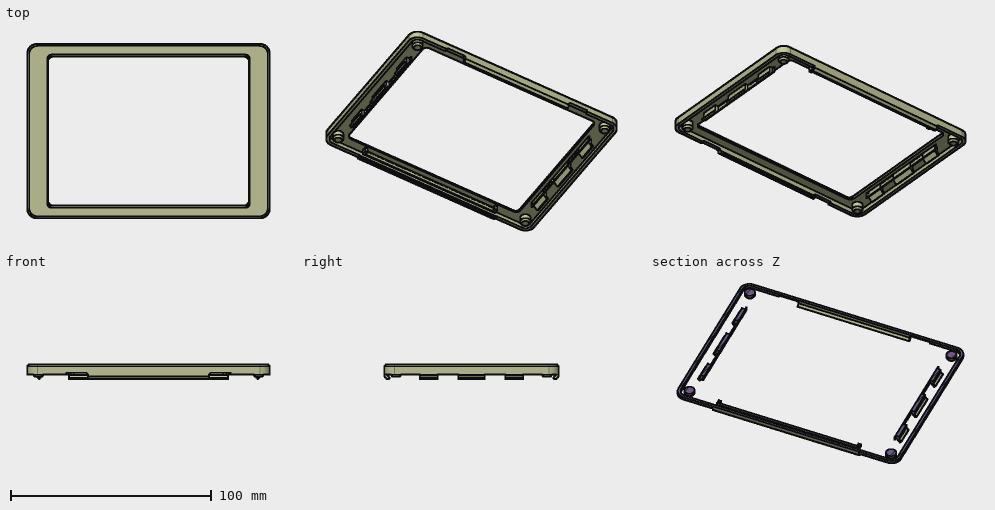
import cadquery as cq

LENGTH = 121.0
WIDTH = 87.0
TOTAL_DEPTH = 7.5
BODY_DEPTH = 5.2
CORNER_RADIUS = 5.1
EDGE_CHAMFER = 1.1
WALL = 1.7
PLATE = 2.4

WINDOW_LENGTH = 101.0
WINDOW_WIDTH = 76.4
WINDOW_RADIUS = 2.4
RIM_BEVEL = 0.2
SLOPE_BOTTOM = 1.7
SLOPE_RUN_X = 0.2
SLOPE_RUN_Y = 1.0

HOOK_REACH = 2.9
HOOK_BEVEL = 1.3
HOOK_TIP_BEVEL = 0.6
HOOK_THROAT = 0.4
FRONT_HOOK_HALF = 30.2
REAR_HOOK_HALF = 39.7
NOTCH_END = 41.0
NOTCH_RISE = 0.8
NOTCH_SLOPE = 0.7

CLIP_FACE_INSET = 8.1
CLIP_WALL = 1.7
CLIP_REACH = 2.9
CLIP_TIP_RISE = 0.8
RIB_THICKNESS = 0.5
RIB_HALF_LENGTH = 27.2
CLIP_ROW_HALF = 25.9
SIDE_CLIP_LENGTH = 9.2
MIDDLE_CLIP_LENGTH = 13.3

FOOT_INSET_X = 5.7
FOOT_INSET_Y = 5.9
FOOT_RADIUS = 2.7
FOOT_TIP_RADIUS = 1.8
FOOT_DROP = 1.2

REAR_RIB_INSET = 3.1
REAR_RIB_THICKNESS = 0.6
REAR_RIB_HALF_LENGTH = 38.7
BLOCK_LENGTH = 1.5
BLOCK_THICKNESS = 2.3

half_length = LENGTH / 2
half_width = WIDTH / 2


def rounded_block(length, width, radius, z_top, z_bottom):
    plane = cq.Workplane("XY").workplane(offset=z_bottom)
    section = cq.Sketch().rect(length, width).vertices().fillet(radius)
    return plane.placeSketch(section).extrude(z_top - z_bottom)


def window_section(inset_x, inset_y, z):
    sketch = cq.Sketch().rect(WINDOW_LENGTH - 2 * inset_x, WINDOW_WIDTH - 2 * inset_y)
    return sketch.vertices().fillet(WINDOW_RADIUS).moved(cq.Location(cq.Vector(0, 0, z)))


def make_window():
    lip_x = RIM_BEVEL + SLOPE_RUN_X
    lip_y = RIM_BEVEL + SLOPE_RUN_Y
    top = window_section(0, 0, 0)
    rim = window_section(RIM_BEVEL, RIM_BEVEL, -RIM_BEVEL)
    lip = window_section(lip_x, lip_y, -SLOPE_BOTTOM)
    bevel = cq.Workplane("XY").placeSketch(top, rim).loft(ruled=True)
    slope = cq.Workplane("XY").placeSketch(rim, lip).loft(ruled=True)
    straight = rounded_block(
        WINDOW_LENGTH - 2 * lip_x, WINDOW_WIDTH - 2 * lip_y, WINDOW_RADIUS, -SLOPE_BOTTOM, -BODY_DEPTH
    )
    return bevel.union(slope).union(straight)


def make_body():
    body = rounded_block(LENGTH, WIDTH, CORNER_RADIUS, 0, -BODY_DEPTH)
    body = body.faces(">Z").edges().chamfer(EDGE_CHAMFER)
    cavity = rounded_block(
        LENGTH - 2 * WALL, WIDTH - 2 * WALL, CORNER_RADIUS - WALL, -PLATE, -BODY_DEPTH
    )
    return body.cut(cavity).cut(make_window())


def hook(half_span):
    """Hooked lip under the -Y wall, turned inward at the bottom."""
    inner = -half_width + WALL
    throat = -BODY_DEPTH - HOOK_THROAT
    tip = -half_width + HOOK_REACH
    outline = [
        (-half_width, -PLATE),
        (-half_width, -TOTAL_DEPTH + HOOK_BEVEL),
        (-half_width + HOOK_BEVEL, -TOTAL_DEPTH),
        (tip - HOOK_TIP_BEVEL, -TOTAL_DEPTH),
        (tip, -TOTAL_DEPTH + HOOK_TIP_BEVEL),
        (inner, throat),
        (inner, -PLATE),
    ]
    return cq.Workplane("YZ").polyline(outline).close().extrude(half_span, both=True)


def front_notch(side):
    """Relief in the lower edge of the -Y wall, beside one end of its hook."""
    top = -BODY_DEPTH + NOTCH_RISE
    outline = [
        (side * NOTCH_END, -TOTAL_DEPTH),
        (side * NOTCH_END, top),
        (side * (FRONT_HOOK_HALF + NOTCH_SLOPE), top),
        (side * FRONT_HOOK_HALF, top - NOTCH_SLOPE),
        (side * FRONT_HOOK_HALF, -TOTAL_DEPTH),
    ]
    plane = cq.Workplane("XZ", origin=(0, -half_width + WALL, 0))
    return plane.polyline(outline).close().extrude(WALL)


def clip(y_center, length):
    """Barb on the -X side that points outward."""
    face = -half_length + CLIP_FACE_INSET
    outer = face - CLIP_WALL
    tip = face - CLIP_REACH
    tip_z = -TOTAL_DEPTH + CLIP_TIP_RISE
    outline = [
        (face, -PLATE),
        (face, -BODY_DEPTH),
        (tip + CLIP_TIP_RISE, -TOTAL_DEPTH),
        (tip, tip_z),
        (outer, tip_z + CLIP_REACH - CLIP_WALL),
        (outer, -PLATE),
    ]
    plane = cq.Workplane("XZ", origin=(0, y_center, 0))
    return plane.polyline(outline).close().extrude(length / 2, both=True)


def clip_row():
    """Rib and three barbed clips of the -X side."""
    rib = cq.Workplane("XY").box(
        RIB_THICKNESS, 2 * RIB_HALF_LENGTH, BODY_DEPTH - PLATE, centered=(False, True, False)
    )
    row = rib.translate((-half_length + CLIP_FACE_INSET, 0, -BODY_DEPTH))
    side_y = CLIP_ROW_HALF - SIDE_CLIP_LENGTH / 2
    row = row.union(clip(0, MIDDLE_CLIP_LENGTH))
    for y in (-side_y, side_y):
        row = row.union(clip(y, SIDE_CLIP_LENGTH))
    return row


def foot(side_x, side_y):
    outline = [
        (0, -PLATE),
        (FOOT_RADIUS, -PLATE),
        (FOOT_RADIUS, -BODY_DEPTH),
        (FOOT_TIP_RADIUS, -BODY_DEPTH - FOOT_DROP),
        (0, -BODY_DEPTH - FOOT_DROP),
    ]
    pin = cq.Workplane("XZ").polyline(outline).close().revolve(360, (0, 0, 0), (0, 1, 0))
    x = side_x * (half_length - FOOT_INSET_X)
    y = side_y * (half_width - FOOT_INSET_Y)
    return pin.translate((x, y, 0))


def rear_bar(x, length, thickness):
    """Bar along X under the plate, beside the +Y hook."""
    bar = cq.Workplane("XY").box(length, thickness, BODY_DEPTH - PLATE, centered=(True, False, False))
    return bar.translate((x, half_width - REAR_RIB_INSET - thickness, -BODY_DEPTH))


def rear_rib():
    rib = rear_bar(0, 2 * REAR_RIB_HALF_LENGTH, REAR_RIB_THICKNESS)
    block_x = REAR_RIB_HALF_LENGTH - BLOCK_LENGTH / 2
    for x in (-block_x, block_x):
        rib = rib.union(rear_bar(x, BLOCK_LENGTH, BLOCK_THICKNESS))
    return rib


result = make_body()
result = result.union(hook(FRONT_HOOK_HALF))
result = result.union(hook(REAR_HOOK_HALF).mirror("XZ"))
result = result.union(rear_rib())
for side in (-1, 1):
    result = result.cut(front_notch(side))

left_row = clip_row()
result = result.union(left_row).union(left_row.mirror("YZ"))

for side_x in (-1, 1):
    for side_y in (-1, 1):
        result = result.union(foot(side_x, side_y))